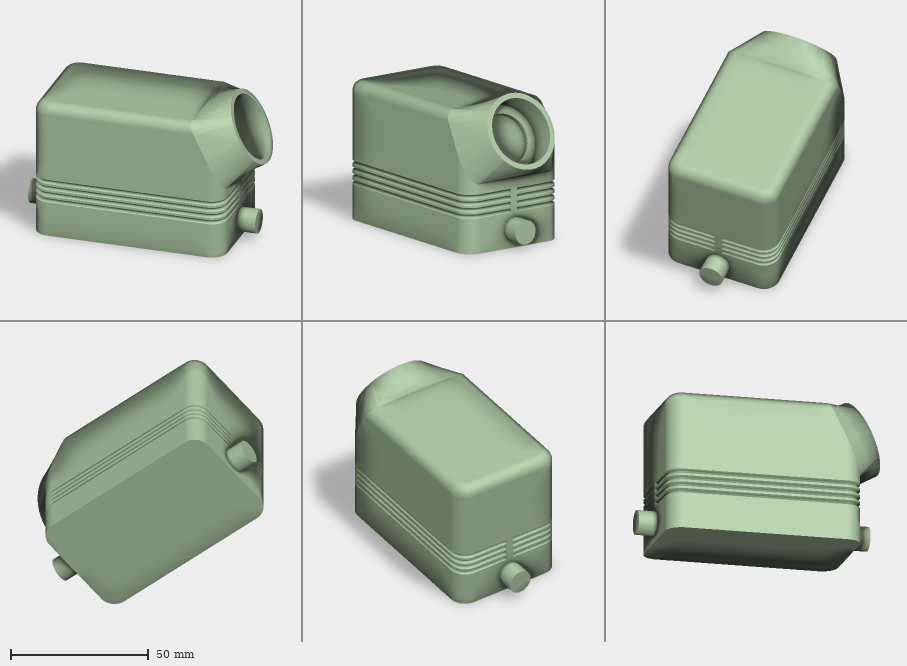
import cadquery as cq
import math

body_length = 72.9
body_width = 43.0
body_height = 52.0
corner_radius = 6.0
top_fillet = 4.0

slope_bottom = body_height / 2
slope_height = body_height - slope_bottom
slope_run = slope_height / 2
slope_length = math.hypot(slope_run, slope_height)

neck_length = 12.1
neck_radius = 14.5
neck_wall = 2.0
bore_radius = neck_radius - neck_wall
bore_depth = neck_length - neck_wall
inner_hole_radius = 9.3

groove_count = 4
groove_opening = 1.6
groove_floor = 0.5
groove_wall_depth = 0.77
groove_depth = 0.9
groove_pitch = 2.45
lowest_groove = 14.1
groove_break = 2.8

pin_radius = 4.5
pin_height = 7.0
pin_span = 86.9

slope_plane = cq.Plane(
    origin=(body_length / 2 - slope_run / 2, 0, slope_bottom + slope_height / 2),
    xDir=(0, 1, 0),
    normal=(slope_height, 0, slope_run),
)


def make_body():
    body = (
        cq.Workplane()
        .rect(body_length, body_width)
        .extrude(body_height)
        .edges("|Z")
        .fillet(corner_radius)
        .faces(">Z")
        .edges()
        .fillet(top_fillet)
    )
    cutter = cq.Workplane(slope_plane).rect(2 * body_width, 2 * slope_length).extrude(body_length)
    return body.cut(cutter)


def make_neck(body):
    """Transition from the outline of the sloping face to a round end."""
    face = body.faces(cq.DirectionMinMaxSelector(slope_plane.zDir)).val()
    corners = [slope_plane.toLocalCoords(v.Center()) for v in face.outerWire().Vertices()]
    angles = sorted(math.atan2(c.y, c.x) for c in corners)

    def round_point(angle):
        return neck_radius * math.cos(angle), neck_radius * math.sin(angle)

    end = cq.Workplane(slope_plane).workplane(offset=neck_length).moveTo(*round_point(angles[0]))
    for start, stop in zip(angles, angles[1:] + [angles[0] + 2 * math.pi]):
        end = end.threePointArc(round_point((start + stop) / 2), round_point(stop))
    end_wire = end.close().val()
    return cq.Workplane(cq.Solid.makeLoft([face.outerWire(), end_wire], True))


def make_bore():
    """Stepped bore: the narrower hole passes through the wall left at the root of the neck."""
    end = cq.Workplane(slope_plane).workplane(offset=neck_length)
    bore = end.circle(bore_radius).extrude(-bore_depth)
    return bore.union(end.circle(inner_hole_radius).extrude(-neck_length))


def make_groove(middle):
    """Groove around the -Y half of the body, from the break on one end to the break on the other."""
    end_x = body_length / 2
    side_y = body_width / 2
    break_y = groove_break / 2
    path = (
        cq.Workplane(origin=(0, 0, middle))
        .moveTo(-end_x, -break_y)
        .lineTo(-end_x, corner_radius - side_y)
        .radiusArc((corner_radius - end_x, -side_y), -corner_radius)
        .lineTo(end_x - corner_radius, -side_y)
        .radiusArc((end_x, corner_radius - side_y), -corner_radius)
        .lineTo(end_x, -break_y)
    )
    profile = (
        cq.Workplane("XZ", origin=(-end_x, -break_y, middle))
        .moveTo(0, groove_opening / 2)
        .lineTo(groove_wall_depth, groove_floor / 2)
        .threePointArc((groove_depth, 0), (groove_wall_depth, -groove_floor / 2))
        .lineTo(0, -groove_opening / 2)
        .close()
    )
    return profile.sweep(path)


def cut_grooves(body):
    for i in range(groove_count):
        half_groove = make_groove(lowest_groove + i * groove_pitch)
        body = body.cut(half_groove).cut(half_groove.mirror("XZ"))
    return body


def make_pin(side):
    """Pin from the middle of the body out past the end on the given side (-1 or 1 along X)."""
    return (
        cq.Workplane("YZ")
        .center(0, pin_height)
        .circle(pin_radius)
        .extrude(side * pin_span / 2)
    )


body = make_body()
result = cut_grooves(body.union(make_neck(body)).cut(make_bore()))
for side in (-1, 1):
    result = result.union(make_pin(side))